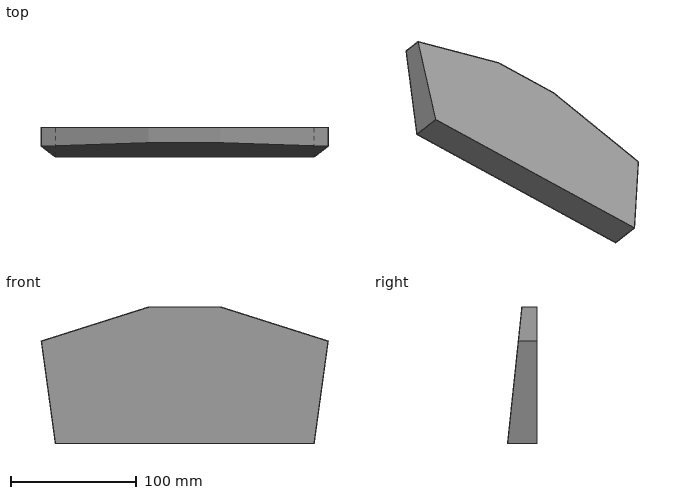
import cadquery as cq

shoulder_width = 228.6
height = 108.8
base_thickness = 23.5

base_width = 206.2
crown_width = 57.2
shoulder_height = 81.6
crown_thickness = 12.1

outline = [
    (-base_width / 2, 0),
    (base_width / 2, 0),
    (shoulder_width / 2, shoulder_height),
    (crown_width / 2, height),
    (-crown_width / 2, height),
    (-shoulder_width / 2, shoulder_height),
]
plate = cq.Workplane("XZ").polyline(outline).close().extrude(-base_thickness)

side_profile = [
    (0, 0),
    (base_thickness, 0),
    (base_thickness, height),
    (base_thickness - crown_thickness, height),
]
wedge = cq.Workplane("YZ").polyline(side_profile).close().extrude(shoulder_width / 2, both=True)

result = plate.intersect(wedge)